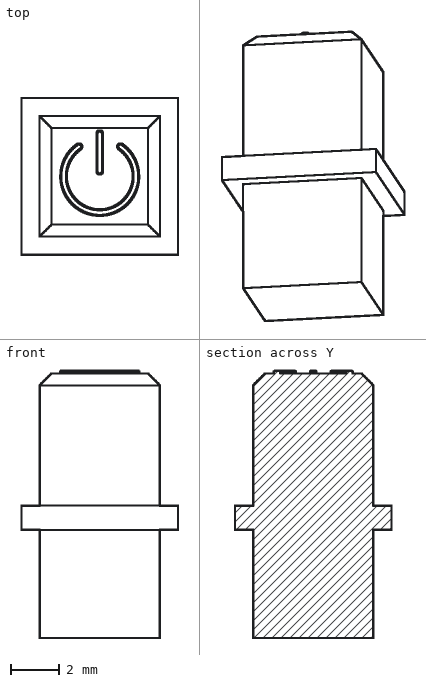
import cadquery as cq
import math

total_height = 11.1
symbol_height = 0.11
body_width = 5.0
body_height = total_height - symbol_height
top_chamfer = 0.5

flange_width = 6.5
flange_thickness = 1.0
flange_bottom = 4.5

stroke_width = 0.28
stroke_radius = stroke_width / 2
edge_bevel = 0.04
ring_outer_radius = 1.64
ring_radius = ring_outer_radius - stroke_radius
ring_half_gap = 35.0
bar_bottom = 0.08
bar_top = 1.91


def square_block(width, height, bottom):
    """Square block centred on the Z axis."""
    return cq.Workplane("XY").workplane(offset=bottom).rect(width, width).extrude(height)


def polar_point(radius, angle):
    """Point at an angle in degrees, measured clockwise from +Y."""
    turn = math.radians(angle)
    return (radius * math.sin(turn), radius * math.cos(turn))


def ring_end(angle, overshoot):
    """Tip of the rounded ring end, past the stroke centre along the ring tangent."""
    x, y = polar_point(ring_radius, angle)
    turn = math.radians(angle)
    return (x + overshoot * math.cos(turn), y - overshoot * math.sin(turn))


def make_body():
    body = square_block(body_width, body_height, 0)
    return body.faces(">Z").chamfer(top_chamfer)


def make_ring():
    """Open ring with round ends and a bevelled top edge."""
    inner_radius = ring_outer_radius - stroke_width
    ring = (
        cq.Workplane("XY")
        .workplane(offset=body_height)
        .moveTo(*polar_point(ring_outer_radius, ring_half_gap))
        .threePointArc((0, -ring_outer_radius), polar_point(ring_outer_radius, -ring_half_gap))
        .threePointArc(ring_end(-ring_half_gap, stroke_radius), polar_point(inner_radius, -ring_half_gap))
        .threePointArc((0, -inner_radius), polar_point(inner_radius, ring_half_gap))
        .threePointArc(ring_end(ring_half_gap, -stroke_radius), polar_point(ring_outer_radius, ring_half_gap))
        .close()
        .extrude(symbol_height)
    )
    return ring.faces(">Z").chamfer(edge_bevel)


def make_bar():
    """Upright bar with round ends and a bevelled top edge."""
    bar = (
        cq.Workplane("XY")
        .workplane(offset=body_height)
        .center(0, (bar_bottom + bar_top) / 2)
        .slot2D(bar_top - bar_bottom, stroke_width, 90)
        .extrude(symbol_height)
    )
    return bar.faces(">Z").chamfer(edge_bevel)


flange = square_block(flange_width, flange_thickness, flange_bottom)
result = make_body().union(flange).union(make_ring()).union(make_bar())